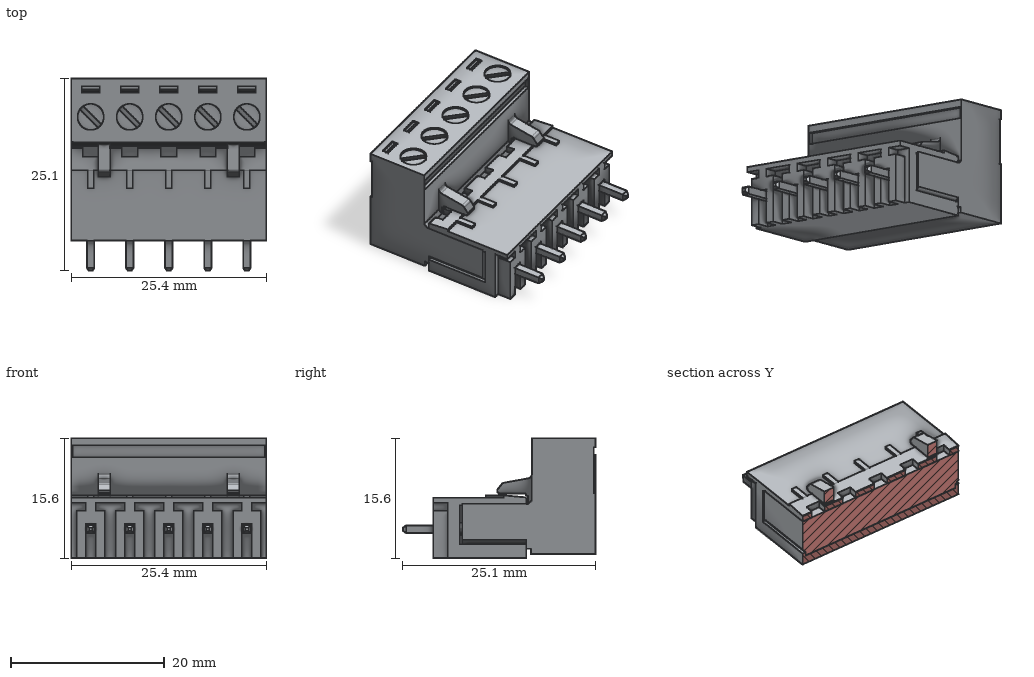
import cadquery as cq

width = 25.4
half_width = width / 2
pole_count = 5
pole_pitch = 5.08
pole_xs = [(i - (pole_count - 1) / 2) * pole_pitch for i in range(pole_count)]

plug_top = 15.62
plug_bottom = 0.5
plug_depth = 8.3
plug_foot_depth = 8.4
face_slope_top = 7.5
tongue_root_depth = 8.81

tongue_top = 7.05
tongue_bottom = 1.22
tongue_end_depth = 17.32
ear_bulge_inset = 0.2
window_sill = 1.83
wall_thickness = 0.5
ear_bottom = 2.41
gap_end_depth = 17.7
gap_top = 6.85
gap_width = 2.55

header_rear_depth = 9.02
header_front_depth = 21.13
header_top = 7.87

screw_depth = 5.03
screw_diameter = 3.4
screw_recess = 0.25
screw_slot_width = 0.6
screw_slot_cut = 0.5
test_slot_width = 2.34
test_slot_rear = 1.02
test_slot_front = 1.85
test_slot_floor_front = 1.42
test_slot_floor_cut = 0.2
test_slot_front_cut = 0.81

groove_end_margin = 0.2
groove_bottom = 13.13
groove_top = 14.65
groove_cut = 0.5
rear_recess_cut = 0.23
rear_recess_bottom = 8.43
rear_recess_top = 14.4
rear_pad_top = 13.44
rear_pad_end_margin = 0.5

latch_x = 8.4
latch_width = 1.57
latch_root_top = 10.97
latch_underside = 8.38
latch_inner_radius = 0.3
latch_tip_depth = 12.83
latch_tip_top = 8.86
latch_tip_radius = 0.2
latch_embed = 0.25
latch_root_arc_mid = (-8.43, 10.6)
latch_root_arc_end = (-8.65, 10.41)
latch_nose_arc_start = (-11.89, 9.83)
latch_nose_arc_mid = (-12.1, 9.75)
latch_nose_arc_end = (-12.25, 9.6)

ramp_rear_top = 7.92
ramp_front_top = 8.18
ramp_front_depth = 11.96
ramp_edge_chamfer = 0.1
rib_width = 0.75
rib_front_depth = 14.33
notch_width = 2.03
notch_front_depth = 10.24

recess_depth = 19.25
recess_top = 7.2
block_top = 6.17
block_width = 3.6
neck_width = 1.32
pin_slot_top = 4.45

pin_side = 1.0
pin_z = 3.75
pin_tip_depth = 25.07
pin_tip_length = 0.4
pin_tip_inset = 0.28
collar_diameter = 1.63


def block(x_start, x_end, depth_start, depth_end, z_start, z_end):
    """Axis-aligned box between two X places, two depths and two heights."""
    size = (x_end - x_start, depth_end - depth_start, z_end - z_start)
    return cq.Workplane("XY").box(*size, centered=False).translate((x_start, -depth_end, z_start))


def centered_block(x, block_size, depth_start, depth_end, z_start, z_end):
    """Box centred on one X place."""
    return block(x - block_size / 2, x + block_size / 2, depth_start, depth_end, z_start, z_end)


def side_profile(points, x_center, length):
    """Extrude a closed (depth, z) outline along X, centred on x_center."""
    outline = cq.Workplane("YZ").polyline([(-depth, z) for depth, z in points]).close()
    return outline.extrude(length / 2, both=True).translate((x_center, 0, 0))


def tongue():
    """Full-width tongue whose round-edged side ears overhang the header's side walls."""
    core_half = half_width - wall_thickness
    ear_mid_x = half_width - ear_bulge_inset
    ear_mid_z = (ear_bottom + window_sill) / 2
    section = (
        cq.Workplane("XZ", origin=(0, -header_rear_depth, 0))
        .moveTo(-half_width, tongue_top)
        .lineTo(half_width, tongue_top)
        .lineTo(half_width, ear_bottom)
        .threePointArc((ear_mid_x, ear_mid_z), (core_half, window_sill))
        .lineTo(core_half, tongue_bottom)
        .lineTo(-core_half, tongue_bottom)
        .lineTo(-core_half, window_sill)
        .threePointArc((-ear_mid_x, ear_mid_z), (-half_width, ear_bottom))
        .close()
    )
    return section.extrude(tongue_end_depth - header_rear_depth)


def latch(x):
    """Hook with a round root and nose that reaches from the plug's front over the header's ramp."""
    outline = (
        cq.Workplane("YZ")
        .moveTo(-plug_depth + latch_embed, latch_root_top)
        .lineTo(-plug_depth, latch_root_top)
        .threePointArc(latch_root_arc_mid, latch_root_arc_end)
        .lineTo(*latch_nose_arc_start)
        .threePointArc(latch_nose_arc_mid, latch_nose_arc_end)
        .lineTo(-latch_tip_depth, latch_tip_top)
        .lineTo(-latch_tip_depth, latch_underside + latch_tip_radius)
        .radiusArc((-latch_tip_depth + latch_tip_radius, latch_underside), latch_tip_radius)
        .lineTo(-tongue_root_depth - latch_inner_radius, latch_underside)
        .radiusArc((-tongue_root_depth, latch_underside - latch_inner_radius), -latch_inner_radius)
        .lineTo(-tongue_root_depth, tongue_top - latch_embed)
        .lineTo(-plug_depth + latch_embed, tongue_top - latch_embed)
        .close()
    )
    return outline.extrude(latch_width / 2, both=True).translate((x, 0, 0))


def screw_cut(x):
    """Round recess down to a screw head, with the driver slot across the head."""
    top = cq.Workplane("XY", origin=(x, -screw_depth, plug_top))
    recess = top.circle(screw_diameter / 2).extrude(-screw_recess)
    head = top.circle(screw_diameter / 2).extrude(-screw_recess - screw_slot_cut)
    slot = top.transformed(rotate=(0, 0, -45)).rect(screw_diameter, screw_slot_width)
    return recess.union(slot.extrude(-screw_recess - screw_slot_cut).intersect(head))


def test_slot(x):
    """Slot with a shallow rear floor that slopes down to its front side."""
    outline = [
        (test_slot_rear, plug_top), (test_slot_front, plug_top),
        (test_slot_front, plug_top - test_slot_front_cut),
        (test_slot_floor_front, plug_top - test_slot_floor_cut),
        (test_slot_rear, plug_top - test_slot_floor_cut),
    ]
    return side_profile(outline, x, test_slot_width)


def rear_recess():
    """Band across the rear face, leaving a raised pad below an open groove."""
    band = block(-half_width, half_width, 0, rear_recess_cut, rear_recess_bottom, rear_recess_top)
    pad_width = width - 2 * rear_pad_end_margin
    return band.cut(centered_block(0, pad_width, 0, rear_recess_cut, rear_recess_bottom, rear_pad_top))


def make_plug():
    body_outline = [
        (0, plug_bottom), (0, plug_top), (plug_depth, plug_top), (plug_depth, face_slope_top),
        (tongue_root_depth, tongue_top), (header_rear_depth, tongue_top),
        (header_rear_depth, tongue_bottom), (plug_foot_depth, tongue_bottom),
        (plug_foot_depth, plug_bottom),
    ]
    plug = side_profile(body_outline, 0, width)
    for x in (-latch_x, latch_x):
        plug = plug.union(latch(x))
    plug = plug.union(tongue())
    groove_width = width - 2 * groove_end_margin
    groove_depth = plug_depth - groove_cut
    groove = centered_block(0, groove_width, groove_depth, plug_depth, groove_bottom, groove_top)
    plug = plug.cut(groove).cut(rear_recess())
    for x in pole_xs:
        plug = plug.cut(screw_cut(x)).cut(test_slot(x))
    return plug


def front_recess():
    """Everything cut from the header's front round the pole blocks, and the slots round the pins."""
    cut = block(-half_width, half_width, recess_depth, header_front_depth, 0, recess_top)
    for x in pole_xs:
        pole = centered_block(x, block_width, recess_depth, header_front_depth, 0, block_top)
        neck = centered_block(x, neck_width, recess_depth, header_front_depth, block_top, recess_top)
        pin_slot = centered_block(x, neck_width, recess_depth, header_front_depth, 0, pin_slot_top)
        cut = cut.cut(pole).cut(neck).union(pin_slot)
    return cut


def pin(x):
    """Square pin with a tapered tip, standing out of the header's front."""
    start = cq.Workplane("XZ", origin=(x, -gap_end_depth, pin_z))
    shank = start.rect(pin_side, pin_side).extrude(pin_tip_depth - gap_end_depth)
    return shank.faces("<Y").chamfer(pin_tip_length, pin_tip_inset)


def pin_collar(x):
    """Round collar of a pin, crossing the clearance pocket to touch the tongue."""
    start = cq.Workplane("XZ", origin=(x, -tongue_end_depth, pin_z))
    return start.circle(collar_diameter / 2).extrude(gap_end_depth - tongue_end_depth)


def socket():
    """Socket for the tongue, with side windows and a clearance pocket at each end."""
    core_width = width - 2 * wall_thickness
    cut = centered_block(0, core_width, header_rear_depth, tongue_end_depth, tongue_bottom, tongue_top)
    windows = centered_block(0, width, header_rear_depth, tongue_end_depth, window_sill, tongue_top)
    cut = cut.union(windows)
    for side in (-1, 1):
        x = side * (half_width - gap_width / 2)
        cut = cut.union(centered_block(x, gap_width, tongue_end_depth, gap_end_depth, window_sill, gap_top))
    return cut


def make_header():
    outline = [
        (header_rear_depth, 0), (header_rear_depth, ramp_rear_top - ramp_edge_chamfer),
        (header_rear_depth + ramp_edge_chamfer, ramp_rear_top),
        (ramp_front_depth, ramp_front_top), (ramp_front_depth, header_top),
        (header_front_depth, header_top), (header_front_depth, 0),
    ]
    header = side_profile(outline, 0, width).cut(socket()).cut(front_recess())
    for x in pole_xs:
        rib = centered_block(x, rib_width, ramp_front_depth, rib_front_depth, header_top, ramp_front_top)
        notch = centered_block(
            x, notch_width, header_rear_depth, notch_front_depth, tongue_top, ramp_front_top)
        header = header.union(rib).cut(notch).union(pin(x))
    for x in (pole_xs[0], pole_xs[-1]):
        header = header.union(pin_collar(x))
    return header


plug = make_plug()
header = make_header()
result = cq.Compound.makeCompound([plug.solids().val(), header.solids().val()])